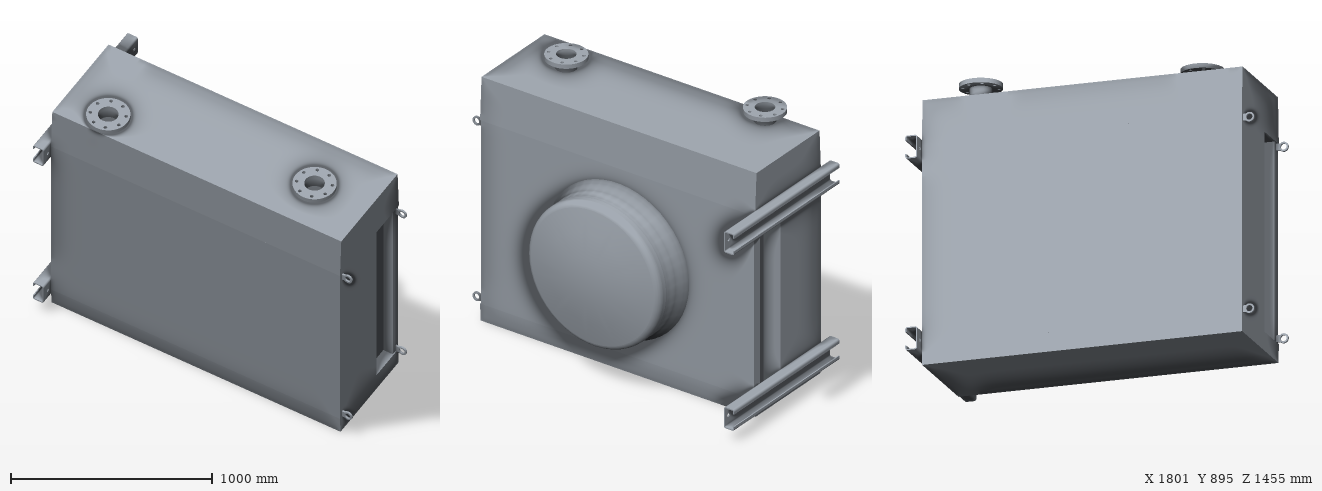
import cadquery as cq
import math


WIDTH = 1680.0
BOTTOM_TANK_HEIGHT = 99.0
CORE_HEIGHT = 1041.0
TOP_TANK_HEIGHT = 240.0
CORE_TOP = BOTTOM_TANK_HEIGHT + CORE_HEIGHT
HOUSING_HEIGHT = CORE_TOP + TOP_TANK_HEIGHT
HOUSING_DEPTH = 560.0
TANK_DRAFT = math.radians(3.0)

CORE_DEPTH = 345.0
RECESS_DEPTH = 60.0
FLANGE_DEPTH = 50.0
FLANGE_SETBACK = 5.0

DOME_X = WIDTH / 2
DOME_Z = BOTTOM_TANK_HEIGHT + CORE_HEIGHT / 2
DOME_RADIUS = 405.0
DOME_BASE_RADIUS = 437.0
DOME_BAND_START = 710.0
DOME_BAND_END = 735.0
DOME_APEX = 825.0
DOME_CAP_RADIUS = 1400.0
CAP_RISE = DOME_APEX - DOME_BAND_END
DOME_SHOULDER_RADIUS = (2 * DOME_CAP_RADIUS * CAP_RISE - DOME_RADIUS ** 2 - CAP_RISE ** 2) / (
    2 * (DOME_CAP_RADIUS - DOME_RADIUS)
)
DOME_FLARE_SAG = 12.0

RAIL_HEIGHT = 120.0
RAIL_DEPTH = 63.0
RAIL_LIP = 25.0
RAIL_THICKNESS = 6.0
RAIL_BEND_RADIUS = 12.0
RAIL_REAR = DOME_APEX
RAIL_LENGTH = 895.0
RAIL_FRONT = RAIL_REAR - RAIL_LENGTH
RAIL_HOLE_DIAMETER = 20.0
RAIL_REAR_HOLE_INSET = 32.0
RAIL_FRONT_HOLE_INSET = 40.0
LOWER_MOUNT_Z = 120.0
UPPER_MOUNT_Z = 1117.0
MOUNT_HEIGHTS = (LOWER_MOUNT_Z, UPPER_MOUNT_Z)

PIPE_DIAMETER = 114.0
PIPE_BORE = 102.0
PIPE_HEIGHT = 75.0
PIPE_FLANGE_DIAMETER = 220.0
PIPE_FLANGE_THICKNESS = 24.0
BOLT_CIRCLE_DIAMETER = 180.0
BOLT_HOLE_DIAMETER = 18.0
BOLT_COUNT = 8
PIPE_POSITIONS = ((281.0, 85.0), (1397.0, 221.0))

LUG_REACH = 58.0
LUG_DIAMETER = 50.0
LUG_HOLE_DIAMETER = 32.0
LUG_NECK_HEIGHT = 36.0
LUG_THICKNESS = 10.0
LUG_SEATS = ((18.0, 0.0), (534.0, FLANGE_SETBACK))


def make_tank(base_z, height):
    """Full-width tank standing on base_z, its front and rear faces leaning inwards by the draft.

    A negative height hangs the tank below base_z.
    """
    inset = abs(height) * math.tan(TANK_DRAFT)
    return (
        cq.Workplane("YZ", origin=(0, 0, base_z))
        .polyline([
            (0, 0),
            (HOUSING_DEPTH, 0),
            (HOUSING_DEPTH - inset, height),
            (inset, height),
        ])
        .close()
        .extrude(WIDTH)
    )


def side_recess():
    """Recess in the rail-side face: a 45 degree slope from the core, then a step out to the
    flange, which stands slightly inside the tank ends."""
    flange_start = HOUSING_DEPTH - FLANGE_DEPTH
    return (
        cq.Workplane("XY", origin=(0, 0, BOTTOM_TANK_HEIGHT))
        .polyline([
            (0, CORE_DEPTH),
            (RECESS_DEPTH, CORE_DEPTH + RECESS_DEPTH),
            (RECESS_DEPTH, flange_start),
            (FLANGE_SETBACK, flange_start),
            (FLANGE_SETBACK, HOUSING_DEPTH),
            (0, HOUSING_DEPTH),
        ])
        .close()
        .extrude(CORE_HEIGHT)
    )


def fan_dome():
    """Revolved fan cowl: concave flare, short cylindrical band, rounded shoulder and domed cap."""
    cap_center_y = DOME_APEX - DOME_CAP_RADIUS
    shoulder_x = DOME_RADIUS - DOME_SHOULDER_RADIUS
    center_gap = DOME_CAP_RADIUS - DOME_SHOULDER_RADIUS
    cap_angle = math.asin(shoulder_x / center_gap)

    def cap_point(angle):
        return (DOME_CAP_RADIUS * math.sin(angle), cap_center_y + DOME_CAP_RADIUS * math.cos(angle))

    mid_shoulder_angle = (cap_angle + math.pi / 2) / 2
    mid_shoulder = (
        shoulder_x + DOME_SHOULDER_RADIUS * math.sin(mid_shoulder_angle),
        DOME_BAND_END + DOME_SHOULDER_RADIUS * math.cos(mid_shoulder_angle),
    )
    mid_flare = (
        (DOME_BASE_RADIUS + DOME_RADIUS) / 2 - DOME_FLARE_SAG,
        (HOUSING_DEPTH + DOME_BAND_START) / 2 - DOME_FLARE_SAG,
    )
    return (
        cq.Workplane("XY")
        .moveTo(0, HOUSING_DEPTH)
        .lineTo(DOME_BASE_RADIUS, HOUSING_DEPTH)
        .threePointArc(mid_flare, (DOME_RADIUS, DOME_BAND_START))
        .lineTo(DOME_RADIUS, DOME_BAND_END)
        .threePointArc(mid_shoulder, cap_point(cap_angle))
        .threePointArc(cap_point(cap_angle / 2), (0, DOME_APEX))
        .close()
        .revolve(360, (0, 0, 0), (0, 1, 0))
        .translate((DOME_X, 0, DOME_Z))
    )


def make_core():
    """Cooler core with its fan cowl and dome, and mirrored recesses in both side faces."""
    block = cq.Workplane("XY", origin=(0, 0, BOTTOM_TANK_HEIGHT)).box(
        WIDTH, HOUSING_DEPTH, CORE_HEIGHT, centered=False
    )
    near_recess = side_recess()
    far_recess = near_recess.mirror("YZ", (WIDTH / 2, 0, 0))
    return block.cut(near_recess).cut(far_recess).union(fan_dome())


def make_rail(center_z):
    """Lipped C-channel along Y, its web against the core and its opening facing -X."""
    outer = (
        cq.Workplane("XY")
        .box(RAIL_DEPTH, RAIL_LENGTH, RAIL_HEIGHT, centered=False)
        .edges("|Y")
        .fillet(RAIL_BEND_RADIUS)
    )
    inner = (
        cq.Workplane("XY", origin=(RAIL_THICKNESS, 0, RAIL_THICKNESS))
        .box(RAIL_DEPTH - 2 * RAIL_THICKNESS, RAIL_LENGTH, RAIL_HEIGHT - 2 * RAIL_THICKNESS, centered=False)
        .edges("|Y")
        .fillet(RAIL_BEND_RADIUS - RAIL_THICKNESS)
    )
    opening = cq.Workplane("XY", origin=(0, 0, RAIL_LIP)).box(
        RAIL_DEPTH / 2, RAIL_LENGTH, RAIL_HEIGHT - 2 * RAIL_LIP, centered=False
    )
    holes = (
        cq.Workplane("YZ")
        .pushPoints([
            (RAIL_FRONT_HOLE_INSET, RAIL_HEIGHT / 2),
            (RAIL_LENGTH - RAIL_REAR_HOLE_INSET, RAIL_HEIGHT / 2),
        ])
        .circle(RAIL_HOLE_DIAMETER / 2)
        .extrude(RAIL_DEPTH)
    )
    rail = outer.cut(inner).cut(opening).cut(holes)
    return rail.translate((-RAIL_DEPTH, RAIL_FRONT, center_z - RAIL_HEIGHT / 2))


def flanged_pipe(x, y):
    """Pipe stub standing on the top tank with a drilled flange at its end."""
    bolt_offset = 180.0 / BOLT_COUNT
    return (
        cq.Workplane("XY", origin=(x, y, HOUSING_HEIGHT))
        .circle(PIPE_DIAMETER / 2)
        .extrude(PIPE_HEIGHT)
        .faces(">Z")
        .workplane()
        .circle(PIPE_FLANGE_DIAMETER / 2)
        .extrude(-PIPE_FLANGE_THICKNESS)
        .faces(">Z")
        .workplane()
        .polarArray(BOLT_CIRCLE_DIAMETER / 2, bolt_offset, 360, BOLT_COUNT)
        .hole(BOLT_HOLE_DIAMETER, PIPE_FLANGE_THICKNESS)
        .faces(">Z")
        .workplane()
        .hole(PIPE_BORE)
    )


def make_top_tank():
    """Top tank with its two flanged connection pipes."""
    tank = make_tank(CORE_TOP, TOP_TANK_HEIGHT)
    for x, y in PIPE_POSITIONS:
        tank = tank.union(flanged_pipe(x, y))
    return tank


def make_bottom_tank():
    """Plain shallow tank under the core."""
    return make_tank(BOTTOM_TANK_HEIGHT, -BOTTOM_TANK_HEIGHT)


def make_lug(front_y, seat_setback, center_z):
    """Ring lug on a short neck, attached to the side face opposite the rails."""
    seat_x = WIDTH - seat_setback
    ring_x = WIDTH + LUG_REACH - LUG_DIAMETER / 2
    plane = cq.Workplane("XZ", origin=(ring_x, front_y + LUG_THICKNESS, center_z))
    ring = plane.circle(LUG_DIAMETER / 2).extrude(LUG_THICKNESS)
    neck = cq.Workplane("XY").box(
        ring_x - seat_x, LUG_THICKNESS, LUG_NECK_HEIGHT, centered=(False, False, True)
    ).translate((seat_x, front_y, center_z))
    hole = plane.circle(LUG_HOLE_DIAMETER / 2).extrude(LUG_THICKNESS)
    return ring.union(neck).cut(hole)


core = make_core()
top_tank = make_top_tank()
bottom_tank = make_bottom_tank()
rails = [make_rail(z) for z in MOUNT_HEIGHTS]
lugs = [make_lug(y, setback, z) for z in MOUNT_HEIGHTS for y, setback in LUG_SEATS]

result = cq.Compound.makeCompound(
    [core.val(), top_tank.val(), bottom_tank.val()]
    + [rail.val() for rail in rails]
    + [lug.val() for lug in lugs]
)